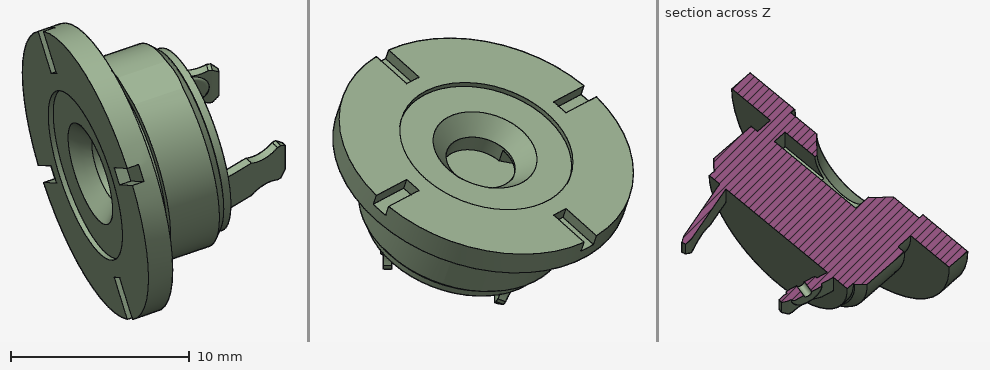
import cadquery as cq

flange_dia = 17.0
flange_thickness = 1.5
neck_dia = 11.0
neck_end = 2.5
body_dia = 12.0
body_end = 6.0
body_chamfer = 0.5
body_flat_gap = 11.8
cap_dia = 10.8
cap_end = 6.5

recess_dia = 10.0
recess_depth = 0.3
bore_dia = 4.0
countersink_dia = 6.0
countersink_depth = (countersink_dia - bore_dia) / 2
bore_depth = 1.0
throat_depth = 0.17
pocket_width = 3.0

slot_count = 4
slot_width = 1.0
slot_depth = 0.7
slot_inner_radius = 6.0

blade_width = 2.72
blade_thickness = 0.5
blade_tilt = 14.0
blade_root = 0.68
tip_length = 0.4
tip_taper = 0.12
tip_corner = 0.35
eye_to_tip = 1.58
notch_half_length = 0.94
notch_depth = 0.27
left_blade_x = -4.06
left_blade_length = 3.3
right_blade_x = 4.34
right_blade_length = 4.35

eyelet_dia = 2.0
eyelet_height = 0.15
eyelet_hole_dia = 0.5


def make_housing():
    """Revolve the stepped outline, then mill the two flats on the body."""
    body_radius = body_dia / 2
    outline = [
        (0, 0),
        (flange_dia / 2, 0),
        (flange_dia / 2, flange_thickness),
        (neck_dia / 2, flange_thickness),
        (neck_dia / 2, neck_end),
        (body_radius, neck_end),
        (body_radius, body_end - body_chamfer),
        (body_radius - body_chamfer, body_end),
        (cap_dia / 2, body_end),
        (cap_dia / 2, cap_end),
        (0, cap_end),
    ]
    housing = cq.Workplane("XY").polyline(outline).close().revolve(360, (0, 0), (0, 1))
    flats = (
        cq.Workplane("XY")
        .box(body_dia, cap_end - neck_end, body_flat_gap)
        .translate((0, (neck_end + cap_end) / 2, 0))
    )
    front = cq.Workplane("XY").box(flange_dia, neck_end, flange_dia).translate((0, neck_end / 2, 0))
    return housing.intersect(flats.union(front))


def make_front_cavity():
    """Recess, countersink and bore, with a side pocket behind the bore's throat."""
    bore_start = recess_depth + countersink_depth
    bore_end = bore_start + bore_depth
    outline = [
        (0, 0),
        (recess_dia / 2, 0),
        (recess_dia / 2, recess_depth),
        (countersink_dia / 2, recess_depth),
        (bore_dia / 2, bore_start),
        (bore_dia / 2, bore_end),
        (0, bore_end),
    ]
    cavity = cq.Workplane("XY").polyline(outline).close().revolve(360, (0, 0), (0, 1))
    pocket_start = bore_start + throat_depth
    pocket = cq.Workplane("XY").box(
        right_blade_x, bore_end - pocket_start, pocket_width, centered=(False, False, True)
    )
    return cavity.union(pocket.translate((0, pocket_start, 0)))


def make_flange_slots():
    """Open-ended radial slots on the diagonals of the flange."""
    slot = cq.Workplane("XY").box(
        flange_dia / 2, slot_depth, slot_width, centered=(False, False, True)
    )
    slot = slot.translate((slot_inner_radius, 0, 0))
    pitch = 360 / slot_count
    slots = cq.Workplane("XY")
    for i in range(slot_count):
        slots = slots.add(slot.rotate((0, 0, 0), (0, 1, 0), pitch * (i + 0.5)))
    return slots.combine()


def make_blade(length):
    """Upright blade along Y, thickness along X, with its root buried below Y = 0."""
    half_width = blade_width / 2
    half_thickness = blade_thickness / 2
    shoulder = length - tip_length
    eye = length - eye_to_tip
    notch_start = eye - notch_half_length
    notch_end = eye + notch_half_length
    notch_bottom = half_width - notch_depth
    tip_half_width = half_width - tip_corner
    face = (
        cq.Workplane("YZ")
        .moveTo(-blade_root, -half_width)
        .lineTo(notch_start, -half_width)
        .threePointArc((eye, -notch_bottom), (notch_end, -half_width))
        .lineTo(shoulder, -half_width)
        .lineTo(length, -tip_half_width)
        .lineTo(length, tip_half_width)
        .lineTo(shoulder, half_width)
        .lineTo(notch_end, half_width)
        .threePointArc((eye, notch_bottom), (notch_start, half_width))
        .lineTo(-blade_root, half_width)
        .close()
        .extrude(half_thickness, both=True)
    )
    tip_half_thickness = half_thickness - tip_taper
    edge_profile = [
        (-half_thickness, -blade_root),
        (half_thickness, -blade_root),
        (half_thickness, shoulder),
        (tip_half_thickness, length),
        (-tip_half_thickness, length),
        (-half_thickness, shoulder),
    ]
    tapered = cq.Workplane("XY").polyline(edge_profile).close().extrude(half_width, both=True)
    return face.intersect(tapered)


def add_eyelet(blade, length):
    """Round-edged eyelet standing out on both faces of a blade, with a through hole."""
    thickness = blade_thickness + 2 * eyelet_height
    eyelet = cq.Workplane("YZ").circle(eyelet_dia / 2).extrude(thickness / 2, both=True)
    eyelet = eyelet.faces("<X or >X").edges().fillet(eyelet_height)
    hole = cq.Workplane("YZ").circle(eyelet_hole_dia / 2).extrude(thickness / 2, both=True)
    eye_place = (0, length - eye_to_tip, 0)
    return blade.union(eyelet.translate(eye_place)).cut(hole.translate(eye_place))


def place_blade(blade, x, tilt):
    """Lean the blade about its root line and stand it on the cap."""
    return blade.rotate((0, 0, 0), (0, 0, 1), tilt).translate((x, cap_end, 0))


left_blade = add_eyelet(make_blade(left_blade_length), left_blade_length)
right_blade = make_blade(right_blade_length)

result = (
    make_housing()
    .cut(make_front_cavity())
    .cut(make_flange_slots())
    .union(place_blade(left_blade, left_blade_x, -blade_tilt))
    .union(place_blade(right_blade, right_blade_x, blade_tilt))
)